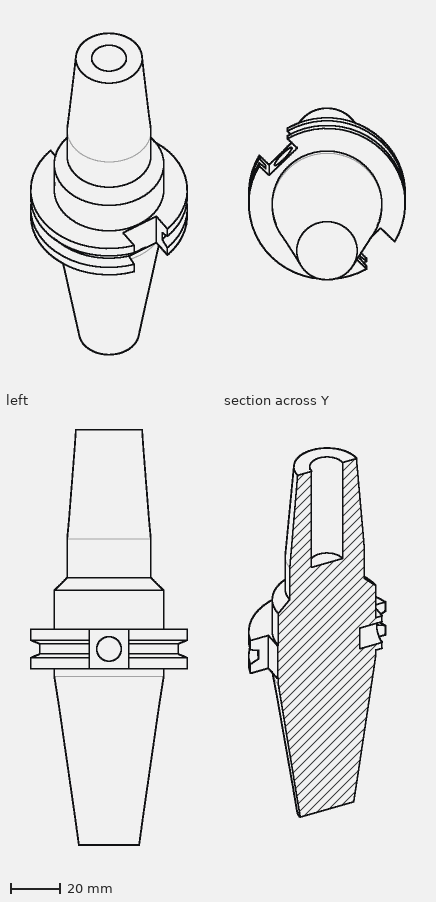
import cadquery as cq

total_length = 168.2

gauge_height = 68.3
gauge_diameter = 44.5
gauge_radius = gauge_diameter / 2
taper_ratio = 7 / 24
shank_end_radius = gauge_radius - gauge_height * taper_ratio / 2

flange_diameter = 63.5
flange_radius = flange_diameter / 2
flange_bottom = 71.3
flange_thickness = 16.2
flange_top = flange_bottom + flange_thickness
flange_middle = flange_bottom + flange_thickness / 2
groove_root_radius = 28.1
groove_mouth_width = 7.0
groove_root_width = 4.0

neck_diameter = 34.0
neck_radius = neck_diameter / 2
collar_top = 103.1
shoulder_top = collar_top + gauge_radius - neck_radius
nose_bottom = 124.0
nose_tip_radius = 13.5

bore_diameter = 14.0
bore_depth = 47.1

slot_width = 16.2
left_slot_floor = 25.0
right_slot_floor = 22.5

slot_hole_diameter = 10.0
slot_hole_depth = 10.1


def make_body():
    """Revolve the half outline, given as (radius, height), about the Z axis."""
    outline = [
        (0, 0),
        (shank_end_radius, 0),
        (gauge_radius, gauge_height),
        (gauge_radius, flange_bottom),
        (flange_radius, flange_bottom),
        (flange_radius, flange_middle - groove_mouth_width / 2),
        (groove_root_radius, flange_middle - groove_root_width / 2),
        (groove_root_radius, flange_middle + groove_root_width / 2),
        (flange_radius, flange_middle + groove_mouth_width / 2),
        (flange_radius, flange_top),
        (gauge_radius, flange_top),
        (gauge_radius, collar_top),
        (neck_radius, shoulder_top),
        (neck_radius, nose_bottom),
        (nose_tip_radius, total_length),
        (0, total_length),
    ]
    return cq.Workplane("XZ").polyline(outline).close().revolve(360, (0, 0), (0, 1))


def make_slot(side, floor_distance):
    """Block that opens the flange rim on one X side (-1 or +1), down to the slot floor."""
    slot_depth = flange_radius - floor_distance
    center_x = side * (floor_distance + slot_depth / 2)
    return cq.Workplane("XY").box(slot_depth, slot_width, flange_thickness).translate(
        (center_x, 0, flange_middle)
    )


def make_bore():
    bore_floor = total_length - bore_depth
    return cq.Workplane("XY", origin=(0, 0, bore_floor)).circle(bore_diameter / 2).extrude(bore_depth)


def make_slot_hole():
    hole_mouth = (-left_slot_floor, 0, flange_middle)
    return cq.Workplane("YZ", origin=hole_mouth).circle(slot_hole_diameter / 2).extrude(slot_hole_depth)


result = (
    make_body()
    .cut(make_slot(-1, left_slot_floor))
    .cut(make_slot(1, right_slot_floor))
    .cut(make_bore())
    .cut(make_slot_hole())
)